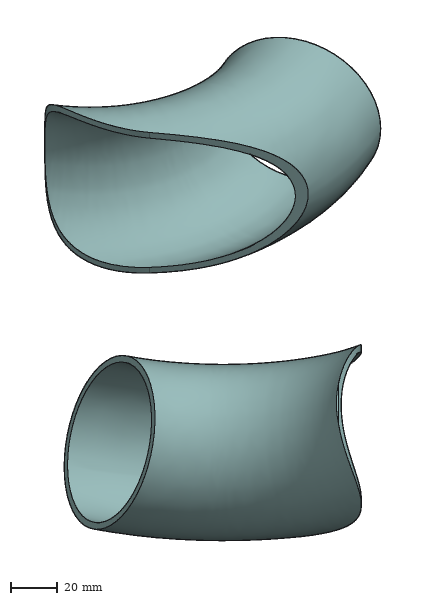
import cadquery as cq
import math

pipe_diameter = 76.1
wall = 2.9
outer_bend_radius = 133.0
pipe_radius = pipe_diameter / 2
bore_radius = pipe_radius - wall
bend_radius = outer_bend_radius - pipe_radius
inner_bend_radius = bend_radius - pipe_radius

part_depth = 88.2
nose_radius = 47.5
nose_center_x = 44.2
nose_end_x = 58.0
nose_center_y = nose_radius - part_depth

flank_end_y = -inner_bend_radius
flank_end_x = math.sqrt(outer_bend_radius**2 - flank_end_y**2)

trim_clearance = 6.7


def quarter_bend(tube_radius):
    """Solid 90 degree bend from the plane Y = 0 round to the plane X = 0, on the -Y side."""
    return (
        cq.Workplane("XZ")
        .center(bend_radius, 0)
        .circle(tube_radius)
        .revolve(90, (-bend_radius, 0, 0), (-bend_radius, -1, 0))
    )


def nose_point(x):
    """Point on the lower half of the nose arc at the given X."""
    return x, nose_center_y - math.sqrt(nose_radius**2 - (x - nose_center_x) ** 2)


def kept_region():
    """Prism along Z that holds everything on the +Y side of the trim line."""
    far_x = outer_bend_radius + trim_clearance
    return (
        cq.Workplane("XY")
        .moveTo(0, trim_clearance)
        .lineTo(*nose_point(0))
        .threePointArc(nose_point(nose_center_x), nose_point(nose_end_x))
        .tangentArcPoint((flank_end_x, flank_end_y), relative=False)
        .lineTo(far_x, flank_end_y)
        .lineTo(far_x, trim_clearance)
        .close()
        .extrude(pipe_radius + trim_clearance, both=True)
    )


elbow = quarter_bend(pipe_radius).cut(quarter_bend(bore_radius))
result = elbow.intersect(kept_region())